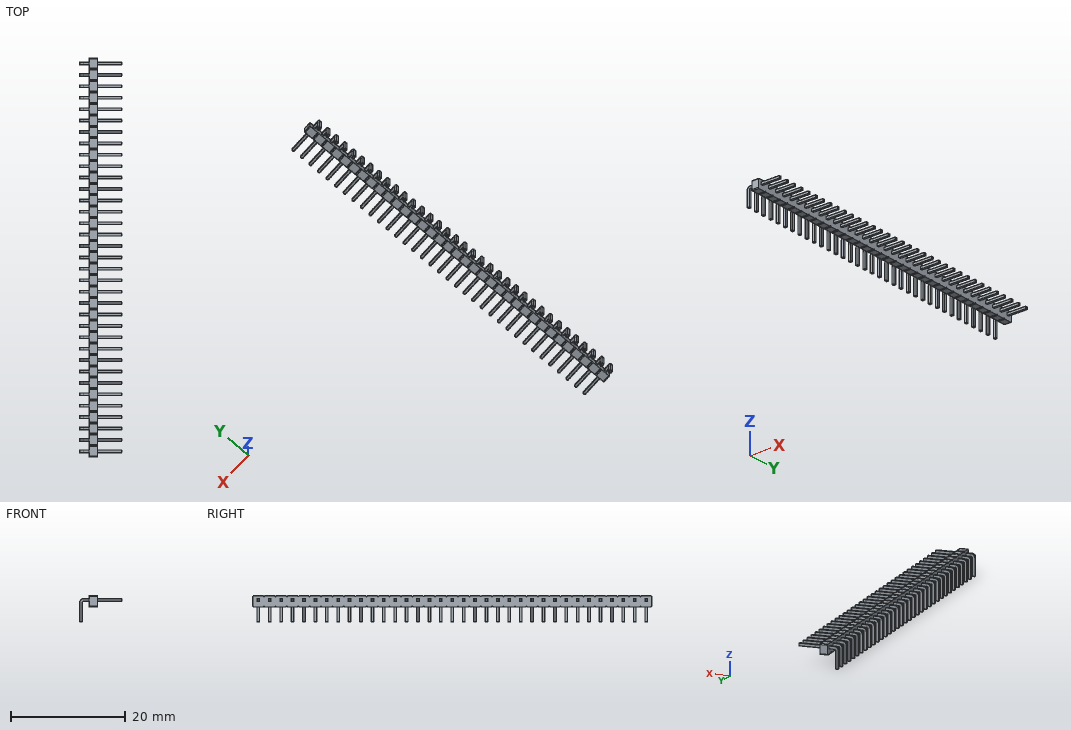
import cadquery as cq

overall_length = 70.0
pin_count = 35
pitch = overall_length / pin_count

body_width = 1.5
body_height = pitch
body_offset = 1.7
body_center_height = 3.65
notch_depth = 0.175

pin_size = 0.5
pin_reach = 7.4
pin_axis_rise = 0.245
bend_inner_radius = 0.2
tip_chamfer = 0.105

bend_outer_radius = bend_inner_radius + pin_size
body_bottom = body_center_height - body_height / 2
body_top = body_center_height + body_height / 2
arm_axis_height = body_center_height + pin_axis_rise
arm_top = arm_axis_height + pin_size / 2
arm_bottom = arm_axis_height - pin_size / 2
bend_start_height = arm_top - bend_outer_radius
strip_start = -overall_length / 2


def notch_points(center_y, surface_z):
    """Corners of a YZ diamond whose inner half cuts a V into the body surface."""
    return [
        (center_y - notch_depth, surface_z),
        (center_y, surface_z + notch_depth),
        (center_y + notch_depth, surface_z),
        (center_y, surface_z - notch_depth),
    ]


def make_body():
    """Bar along Y with V notches above and below at every cell boundary and at both ends."""
    bar = (
        cq.Workplane("XY", origin=(body_offset, 0, body_bottom))
        .box(body_width, overall_length, body_height, centered=(False, True, False))
    )
    notches = cq.Workplane("YZ", origin=(body_offset, 0, 0))
    for boundary in range(pin_count + 1):
        boundary_y = strip_start + boundary * pitch
        for surface_z in (body_bottom, body_top):
            notches = notches.polyline(notch_points(boundary_y, surface_z)).close()
    return bar.cut(notches.extrude(body_width))


def make_pin(center_y):
    """Square pin: vertical leg, rounded bend and an arm running along +X through the body.

    Both ends have all four tip edges chamfered.
    """
    return (
        cq.Workplane("XZ", origin=(0, center_y, 0))
        .lineTo(pin_size, 0)
        .lineTo(pin_size, bend_start_height)
        .radiusArc((bend_outer_radius, arm_bottom), bend_inner_radius)
        .lineTo(pin_reach, arm_bottom)
        .lineTo(pin_reach, arm_top)
        .lineTo(bend_outer_radius, arm_top)
        .radiusArc((0, bend_start_height), -bend_outer_radius)
        .close()
        .extrude(pin_size / 2, both=True)
        .faces("<Z or >X")
        .edges()
        .chamfer(tip_chamfer)
    )


pin_positions = [strip_start + (index + 0.5) * pitch for index in range(pin_count)]
pins = [make_pin(center_y).val() for center_y in pin_positions]

result = cq.Workplane("XY").newObject([make_body().val().fuse(*pins)])